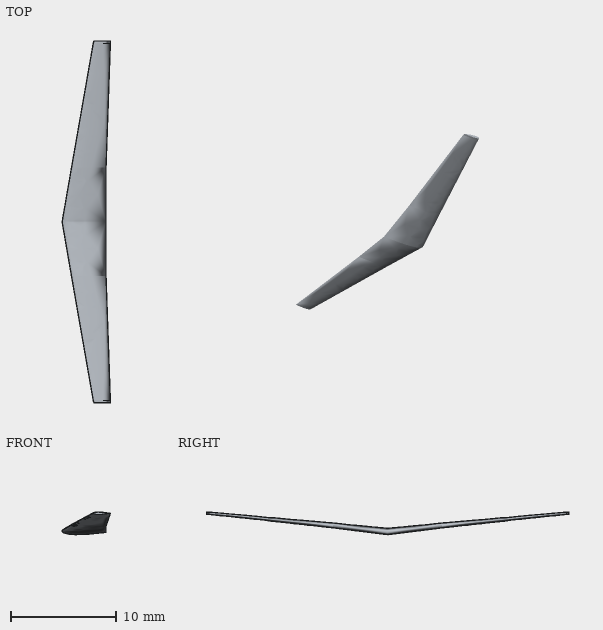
import cadquery as cq
import math

HALF_SPAN = 17.17
KINK_Y = 5.15
TIP_CAP_WIDTH = 0.25
INNER_TRAILING_X = 4.2
TIP_TRAILING_X = 4.6
TIP_Z = 2.03

STATIONS = [
    (0.0, 0.0, INNER_TRAILING_X, 0.35, 0.2),
    (KINK_Y, 0.9, INNER_TRAILING_X, 0.9, 0.82),
    (HALF_SPAN - TIP_CAP_WIDTH, 2.95, TIP_TRAILING_X, TIP_Z, TIP_Z),
    (HALF_SPAN, 3.02, TIP_TRAILING_X, TIP_Z, TIP_Z),
]
THICKNESS_RATIO = 0.15
POINTS_PER_SIDE = 12


def half_thickness(s):
    """Symmetric four-digit NACA half thickness at chord fraction s, closed at the trailing edge."""
    return 5 * THICKNESS_RATIO * (
        0.2969 * math.sqrt(s) - 0.1260 * s - 0.3516 * s**2 + 0.2843 * s**3 - 0.1036 * s**4
    )


def airfoil(y, front_x, rear_x, front_z, rear_z):
    """Closed airfoil outline in the XZ plane at span position y."""
    chord = rear_x - front_x

    def surface_point(step):
        s = (1 - math.cos(math.pi * abs(step) / POINTS_PER_SIDE)) / 2
        offset = math.copysign(half_thickness(s), step) * chord
        return cq.Vector(front_x + s * chord, y, front_z + s * (rear_z - front_z) + offset)

    steps = range(-POINTS_PER_SIDE, POINTS_PER_SIDE + 1)
    outline = [surface_point(step) for step in steps]
    outline[-1] = outline[0]
    skin = cq.Edge.makeSpline(outline)
    return cq.Wire.assembleEdges([skin])


def half_wing():
    """Straight panels between neighbouring stations, joined into one half."""
    sections = [airfoil(*station) for station in STATIONS]
    panels = [
        cq.Workplane(cq.Solid.makeLoft([inner, outer], True))
        for inner, outer in zip(sections, sections[1:])
    ]
    half = panels[0]
    for panel in panels[1:]:
        half = half.union(panel)
    return half


right_half = half_wing()
result = right_half.union(right_half.mirror("XZ"))